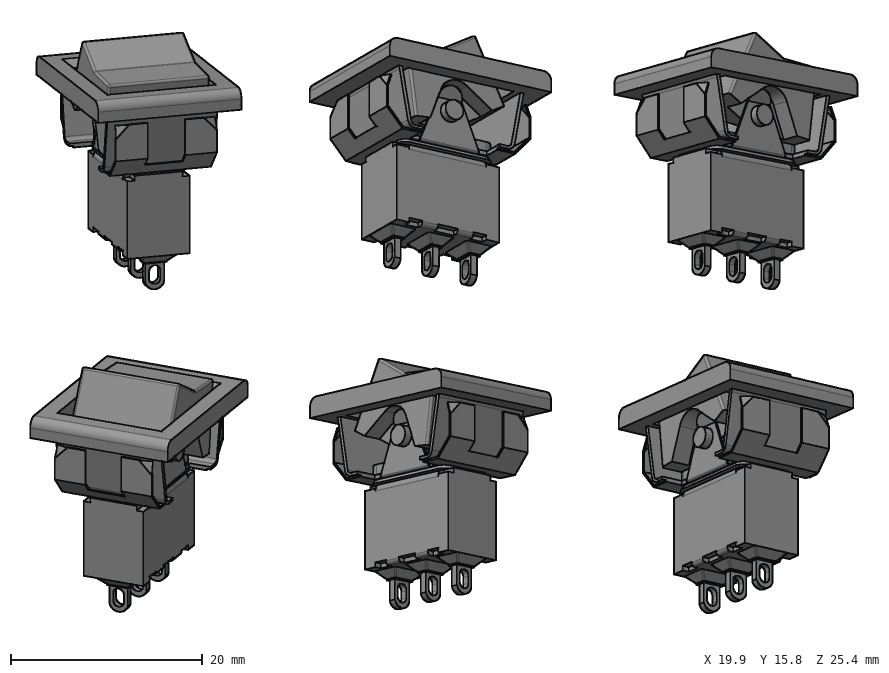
import cadquery as cq
import math

OVERLAP = 0.03

BEZEL_LENGTH, BEZEL_WIDTH, BEZEL_HEIGHT = 19.85, 15.8, 2.2
BEZEL_ROUND = 1.0
WINDOW_WIDTH = 11.95
WINDOW_TOP_LENGTH, WINDOW_BOTTOM_LENGTH = 14.6, 12.98
WINDOW_SLOPE_BOTTOM_Z = 1.37

PIVOT_Z = -2.93
ROCKER_TILT = 17.0
ROCKER_TOP_X, ROCKER_TOP_Z = 4.43, 7.5
ROCKER_VALLEY_Z = 6.5
ROCKER_SIDE_X, ROCKER_SIDE_Z = 5.75, -0.43
ROCKER_KEEL_Z = -1.6
ROCKER_TOP_WIDTH, ROCKER_BOTTOM_WIDTH = 11.2, 11.35
ROCKER_EDGE_ROUND = 0.25
POCKET_RADIUS, POCKET_CENTER_Z = 2.05, 0.9
POCKET_FOOT_X, POCKET_FOOT_Z = 3.95, -0.76
CORE_WIDTH = 6.97
PIN_DIAMETER, PIN_LENGTH = 2.2, 9.42

LEG_WIDTH, LEG_TOP_X = 12.11, 7.65
LEG_SLANT = 10.5
LEG_THICKNESS, FOOT_THICKNESS = 0.4, 0.3
FOOT_BOTTOM_Z, FOOT_INNER_X = -6.57, 4.7
LEG_BEND_RADIUS = 0.9
ROOT_Z, ROOT_HEIGHT, ROOT_END_X = 0.75, 0.25, 8.85
ROOT_BEND_RADIUS = 1.27
BASE_WIDTH = 7.13

CLIP_THICKNESS = 0.2
CLIP_X, CLIP_WIDTH = 8.85, 11.15
CLIP_TOP_Z, CLIP_KNEE_Z = -0.81, -4.65
CLIP_BOTTOM_X = 6.92
CLIP_BOTTOM_Z = FOOT_BOTTOM_Z - CLIP_THICKNESS + OVERLAP
CLIP_GAP_WIDTH, CLIP_GAP_BOTTOM_Z = 4.17, -5.57
FLAP_LEG, FLAP_ANGLE = 1.45, 30.0
TAB_BASE_X, TAB_FOLD_X, TAB_FOLD_Z = 3.66, 1.48, -1.48
TAB_BEND_RADIUS = 0.18
TIP_HEIGHT, TIP_LEAN = 1.55, 27.0

CASE_LENGTH, CASE_WIDTH = 12.62, 6.87
CASE_TOP_Z, CASE_BOTTOM_Z = -7.15, -16.08
CASE_MIDDLE_X = 4.73
CROWN_HEIGHT, TOP_ROUND, TOP_NOTCH_HEIGHT = 1.02, 0.76, 0.53
BOTTOM_ROUND, BOTTOM_NOTCH_HEIGHT = 0.43, 0.5
NOTCH_DEPTH = 0.8
RIB_CENTER_X, RIB_LENGTH = 2.2, 1.95
COLLAR_LENGTH, COLLAR_WIDTH, COLLAR_TOP_Z = 11.5, 6.67, -5.12
FLARE_TOP_LENGTH, FLARE_GROWTH = 11.05, 0.35
COLLAR_ROUND = 1.02
BUSHING_DIAMETER, BUSHING_TOP_Z = 5.2, -3.49

TERMINAL_PITCH = 4.68
SKIRT_LENGTH, SKIRT_WIDTH, SKIRT_HEIGHT = 3.15, 4.28, 0.97
SKIRT_RIM = 0.1
SKIRT_ROUND = 0.18
BLADE_THICKNESS, BLADE_WIDTH = 0.8, 2.09
BLADE_BOTTOM_Z, BLADE_TIP_RADIUS = -20.0, 1.1
SLOT_WIDTH, SLOT_HEIGHT, SLOT_CENTER_Z = 1.25, 2.0, -18.4


def block(length, width, bottom, top):
    """A box centred on the Z axis between two heights."""
    return cq.Workplane("XY").workplane(offset=bottom).rect(length, width).extrude(top - bottom)


def prism_y(points, width):
    """A closed XZ outline extruded symmetrically along Y."""
    return cq.Workplane("XZ").polyline(points).close().extrude(width / 2, both=True)


def with_mirror(solid, plane):
    return solid.union(solid.mirror(plane))


def bezel():
    body = block(BEZEL_LENGTH, BEZEL_WIDTH, 0, BEZEL_HEIGHT)
    body = body.edges("|Y and >Z").fillet(BEZEL_ROUND)
    window = [
        (-WINDOW_BOTTOM_LENGTH / 2, 0),
        (WINDOW_BOTTOM_LENGTH / 2, 0),
        (WINDOW_BOTTOM_LENGTH / 2, WINDOW_SLOPE_BOTTOM_Z),
        (WINDOW_TOP_LENGTH / 2, BEZEL_HEIGHT),
        (-WINDOW_TOP_LENGTH / 2, BEZEL_HEIGHT),
        (-WINDOW_BOTTOM_LENGTH / 2, WINDOW_SLOPE_BOTTOM_Z),
    ]
    return body.cut(prism_y(window, WINDOW_WIDTH))


def rocker_pocket():
    """Clearance for one pivot tab: straight flanks tangent to an arc."""
    foot_drop = POCKET_CENTER_Z - POCKET_FOOT_Z
    foot_distance = math.hypot(POCKET_FOOT_X, foot_drop)
    angle = math.acos(POCKET_RADIUS / foot_distance) - math.atan2(foot_drop, POCKET_FOOT_X)
    tangent_x = POCKET_RADIUS * math.cos(angle)
    tangent_z = POCKET_CENTER_Z + POCKET_RADIUS * math.sin(angle)
    end_x = (3 * POCKET_FOOT_X - tangent_x) / 2
    end_z = (3 * POCKET_FOOT_Z - tangent_z) / 2
    return (
        cq.Workplane("XZ", origin=(0, -CORE_WIDTH / 2, 0))
        .moveTo(-end_x, end_z)
        .lineTo(-tangent_x, tangent_z)
        .threePointArc((0, POCKET_CENTER_Z + POCKET_RADIUS), (tangent_x, tangent_z))
        .lineTo(end_x, end_z)
        .close()
        .extrude(ROCKER_BOTTOM_WIDTH)
    )


def rocker():
    outline = [
        (0, ROCKER_VALLEY_Z),
        (ROCKER_TOP_X, ROCKER_TOP_Z),
        (ROCKER_SIDE_X, ROCKER_SIDE_Z),
        (0, ROCKER_KEEL_Z),
        (-ROCKER_SIDE_X, ROCKER_SIDE_Z),
        (-ROCKER_TOP_X, ROCKER_TOP_Z),
    ]
    drafted_sides = (
        cq.Workplane("YZ")
        .polyline([
            (-ROCKER_BOTTOM_WIDTH / 2, ROCKER_KEEL_Z),
            (ROCKER_BOTTOM_WIDTH / 2, ROCKER_KEEL_Z),
            (ROCKER_TOP_WIDTH / 2, ROCKER_TOP_Z),
            (-ROCKER_TOP_WIDTH / 2, ROCKER_TOP_Z),
        ])
        .close()
        .extrude(2 * ROCKER_SIDE_X, both=True)
    )
    valley = cq.selectors.NearestToPointSelector((0, 0, ROCKER_VALLEY_Z))
    body = prism_y(outline, BEZEL_WIDTH).edges(valley).fillet(ROCKER_EDGE_ROUND)
    body = body.intersect(drafted_sides)

    middle_z = ROCKER_VALLEY_Z / 2
    above_middle = cq.selectors.BoxSelector(
        (-ROCKER_SIDE_X, -ROCKER_BOTTOM_WIDTH, middle_z),
        (ROCKER_SIDE_X, ROCKER_BOTTOM_WIDTH, 2 * ROCKER_TOP_Z),
    )
    valley_lines = cq.selectors.BoxSelector(
        (-ROCKER_EDGE_ROUND, -ROCKER_EDGE_ROUND, middle_z),
        (ROCKER_EDGE_ROUND, ROCKER_EDGE_ROUND, 2 * ROCKER_TOP_Z),
    )
    body = body.edges(above_middle - valley_lines).fillet(ROCKER_EDGE_ROUND)

    body = body.cut(with_mirror(rocker_pocket(), "XZ"))
    pin = cq.Workplane("XZ").circle(PIN_DIAMETER / 2).extrude(PIN_LENGTH / 2, both=True)
    body = body.union(pin)
    return body.rotate((0, 0, 0), (0, 1, 0), ROCKER_TILT).translate((0, 0, PIVOT_Z))


def frame():
    slope = math.tan(math.radians(LEG_SLANT))
    inner_top_x = LEG_TOP_X - LEG_THICKNESS / math.cos(math.radians(LEG_SLANT))
    foot_top_z = FOOT_BOTTOM_Z + FOOT_THICKNESS
    root_top_z = ROOT_Z + ROOT_HEIGHT
    root_bend = (LEG_TOP_X + ROOT_Z * slope, ROOT_Z)
    outer_bend = (LEG_TOP_X + FOOT_BOTTOM_Z * slope, FOOT_BOTTOM_Z)
    inner_bend = (inner_top_x + foot_top_z * slope, foot_top_z)
    leg = prism_y(
        [
            (ROOT_END_X, ROOT_Z),
            root_bend,
            outer_bend,
            (FOOT_INNER_X, FOOT_BOTTOM_Z),
            (FOOT_INNER_X, foot_top_z),
            inner_bend,
            (inner_top_x + root_top_z * slope, root_top_z),
            (ROOT_END_X, root_top_z),
        ],
        LEG_WIDTH,
    )
    for (x, z), radius in (
        (root_bend, ROOT_BEND_RADIUS),
        (outer_bend, LEG_BEND_RADIUS),
        (inner_bend, LEG_BEND_RADIUS - LEG_THICKNESS),
    ):
        leg = leg.edges(cq.selectors.NearestToPointSelector((x, 0, z))).fillet(radius)
    base = block(2 * FOOT_INNER_X + OVERLAP, BASE_WIDTH, FOOT_BOTTOM_Z, foot_top_z)
    return with_mirror(leg, "YZ").union(base)


def clip_spring():
    """The +X pair of panel springs, with their corners folded inward."""
    turn = math.atan2(CLIP_X - CLIP_BOTTOM_X, CLIP_KNEE_Z - CLIP_BOTTOM_Z)
    knee_shift = CLIP_THICKNESS * math.tan(turn / 2)
    bottom_shift = CLIP_THICKNESS * math.tan((math.pi / 2 - turn) / 2)
    spring = prism_y(
        [
            (CLIP_X, CLIP_TOP_Z),
            (CLIP_X, CLIP_KNEE_Z),
            (CLIP_BOTTOM_X, CLIP_BOTTOM_Z),
            (FOOT_INNER_X, CLIP_BOTTOM_Z),
            (FOOT_INNER_X, CLIP_BOTTOM_Z + CLIP_THICKNESS),
            (CLIP_BOTTOM_X - bottom_shift, CLIP_BOTTOM_Z + CLIP_THICKNESS),
            (CLIP_X - CLIP_THICKNESS, CLIP_KNEE_Z + knee_shift),
            (CLIP_X - CLIP_THICKNESS, CLIP_TOP_Z),
        ],
        CLIP_WIDTH,
    )
    spring = spring.cut(block(2 * CLIP_X, CLIP_GAP_WIDTH, CLIP_GAP_BOTTOM_Z, 0))

    side_y = CLIP_WIDTH / 2
    fold_low = (CLIP_X, side_y, CLIP_TOP_Z - FLAP_LEG)
    fold_high = (CLIP_X, side_y - FLAP_LEG, CLIP_TOP_Z)
    corner = (
        cq.Workplane("YZ", origin=(CLIP_X, 0, 0))
        .polyline([fold_low[1:], (side_y, CLIP_TOP_Z), fold_high[1:]])
        .close()
        .extrude(-CLIP_THICKNESS)
    )
    flap = corner.rotate(fold_low, fold_high, FLAP_ANGLE)
    return spring.cut(with_mirror(corner, "XZ")).union(with_mirror(flap, "XZ"))


def pivot_tab():
    """The -Y tab: a tapered plate with a rounded tip leaning outward."""
    inner_y = -BASE_WIDTH / 2
    outer_y = inner_y - CLIP_THICKNESS
    plate = (
        cq.Workplane("XZ", origin=(0, outer_y, 0))
        .polyline([
            (-TAB_BASE_X, CLIP_BOTTOM_Z),
            (TAB_BASE_X, CLIP_BOTTOM_Z),
            (TAB_FOLD_X, TAB_FOLD_Z),
            (-TAB_FOLD_X, TAB_FOLD_Z),
        ])
        .close()
        .extrude(-CLIP_THICKNESS)
    )
    plate = plate.faces("<Y").edges("<Z").fillet(TAB_BEND_RADIUS)
    tip = (
        cq.Workplane("XZ", origin=(0, outer_y, TAB_FOLD_Z))
        .moveTo(-TAB_FOLD_X, 0)
        .threePointArc((0, TIP_HEIGHT), (TAB_FOLD_X, 0))
        .close()
        .extrude(-CLIP_THICKNESS)
        .rotate((0, inner_y, TAB_FOLD_Z), (1, inner_y, TAB_FOLD_Z), TIP_LEAN)
    )
    return plate.union(tip)


def clip():
    base_top_z = CLIP_BOTTOM_Z + CLIP_THICKNESS
    base = block(2 * FOOT_INNER_X + OVERLAP, BASE_WIDTH, CLIP_BOTTOM_Z, base_top_z)
    return base.union(with_mirror(clip_spring(), "YZ")).union(with_mirror(pivot_tab(), "XZ"))


def side_strip(length, depth, bottom, top):
    """Two bars lying along both long sides of the case."""
    center_y = (CASE_WIDTH - depth) / 2
    bar = block(length, depth, bottom, top)
    return bar.translate((0, center_y, 0)).union(bar.translate((0, -center_y, 0)))


def case():
    body = block(CASE_LENGTH, CASE_WIDTH, CASE_BOTTOM_Z, CASE_TOP_Z)
    end_notches = side_strip(CASE_LENGTH, NOTCH_DEPTH, CASE_TOP_Z - TOP_NOTCH_HEIGHT, CASE_TOP_Z)
    notch_top_z = CASE_BOTTOM_Z + BOTTOM_NOTCH_HEIGHT
    bottom_notches = side_strip(2 * CASE_MIDDLE_X, NOTCH_DEPTH, CASE_BOTTOM_Z, notch_top_z)
    crown = block(2 * CASE_MIDDLE_X, CASE_WIDTH, CASE_TOP_Z - CROWN_HEIGHT, CASE_TOP_Z)
    rounded_crown = crown.edges("|X and >Z").fillet(TOP_ROUND)
    body = body.cut(end_notches).cut(bottom_notches).cut(crown).union(rounded_crown)

    rib = block(RIB_LENGTH, CASE_WIDTH, CASE_BOTTOM_Z, notch_top_z)
    rib = rib.edges("|X and <Z").fillet(BOTTOM_ROUND).translate((RIB_CENTER_X, 0, 0))
    return body.union(with_mirror(rib, "YZ"))


def rounded_loft(bottom_size, bottom_z, top_size, top_z, radius):
    """A loft between two rectangles with the same corner radius."""
    bottom = cq.Sketch().rect(*bottom_size).vertices().fillet(radius)
    top = cq.Sketch().rect(*top_size).vertices().fillet(radius)
    return (
        cq.Workplane("XY")
        .placeSketch(
            bottom.moved(cq.Location(cq.Vector(0, 0, bottom_z))),
            top.moved(cq.Location(cq.Vector(0, 0, top_z))),
        )
        .loft()
    )


def collar():
    upper = block(COLLAR_LENGTH, COLLAR_WIDTH, FOOT_BOTTOM_Z, COLLAR_TOP_Z)
    upper = upper.edges("|Z").fillet(COLLAR_ROUND)
    flare = rounded_loft(
        (FLARE_TOP_LENGTH + FLARE_GROWTH, COLLAR_WIDTH + FLARE_GROWTH),
        CASE_TOP_Z,
        (FLARE_TOP_LENGTH, COLLAR_WIDTH),
        CLIP_BOTTOM_Z,
        COLLAR_ROUND,
    )
    bushing = (
        cq.Workplane("XY")
        .workplane(offset=COLLAR_TOP_Z)
        .circle(BUSHING_DIAMETER / 2)
        .extrude(BUSHING_TOP_Z - COLLAR_TOP_Z)
    )
    return upper.union(flare).union(bushing)


def terminal():
    skirt_bottom_z = CASE_BOTTOM_Z - SKIRT_HEIGHT
    slope_height = SKIRT_HEIGHT - SKIRT_RIM
    rim_length = SKIRT_LENGTH - 2 * slope_height
    rim_width = SKIRT_WIDTH - 2 * slope_height
    rim_top_z = skirt_bottom_z + SKIRT_RIM
    skirt = rounded_loft(
        (rim_length, rim_width), rim_top_z, (SKIRT_LENGTH, SKIRT_WIDTH), CASE_BOTTOM_Z, SKIRT_ROUND
    )
    rim = block(rim_length, rim_width, skirt_bottom_z, rim_top_z)
    skirt = skirt.union(rim.edges("|Z").fillet(SKIRT_ROUND))

    half_width = BLADE_WIDTH / 2
    tip_rise = BLADE_TIP_RADIUS - math.sqrt(BLADE_TIP_RADIUS**2 - half_width**2)
    shoulder_z = BLADE_BOTTOM_Z + tip_rise
    blade = (
        cq.Workplane("YZ")
        .moveTo(-half_width, skirt_bottom_z)
        .lineTo(-half_width, shoulder_z)
        .threePointArc((0, BLADE_BOTTOM_Z), (half_width, shoulder_z))
        .lineTo(half_width, skirt_bottom_z)
        .close()
        .extrude(BLADE_THICKNESS / 2, both=True)
    )
    slot = (
        cq.Workplane("YZ")
        .center(0, SLOT_CENTER_Z)
        .slot2D(SLOT_HEIGHT, SLOT_WIDTH, 90)
        .extrude(BLADE_THICKNESS, both=True)
    )
    return skirt.union(blade.cut(slot))


result = bezel().union(frame()).union(clip()).union(collar()).union(case()).union(rocker())
for position in (-1, 0, 1):
    result = result.union(terminal().translate((position * TERMINAL_PITCH, 0, 0)))